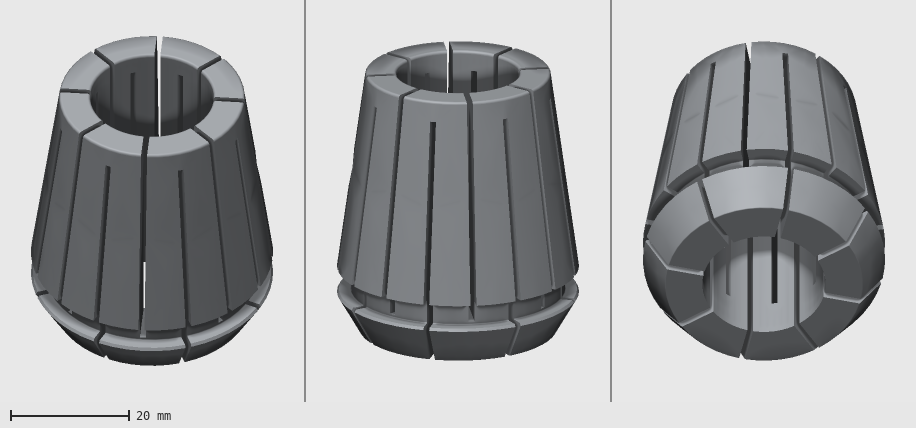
import cadquery as cq
import math

length = 46.0
outer_radius = 41.0 / 2

taper_angle = 7.9
taper_base_z = 11.15
top_radius = outer_radius - (length - taper_base_z) * math.tan(math.radians(taper_angle))
top_rounding = 0.5

groove_radius = 18.12
groove_base_z = 7.0
groove_fillet = 0.2
groove_reach = groove_radius + groove_fillet
flange_angle = 30.0
flange_rim_z = 6.55
flange_rim_inset = 0.3
base_fillet = 0.2
base_radius = outer_radius - flange_rim_z * math.tan(math.radians(flange_angle))

bore_radius = 10.45

slot_count = 8
slot_width = 1.0
lower_slot_end_z = 42.5
upper_slot_end_z = 7.5
slot_step = 360.0 / slot_count


def make_body():
    """Revolve the outer profile and bore it through."""
    body = (
        cq.Workplane("XZ")
        .polyline([
            (bore_radius, 0),
            (base_radius, 0),
            (outer_radius, flange_rim_z),
            (outer_radius - flange_rim_inset, groove_base_z),
            (groove_radius, groove_base_z),
            (groove_radius, taper_base_z),
            (outer_radius, taper_base_z),
            (top_radius, length),
            (bore_radius, length),
        ])
        .close()
        .revolve(360, (0, 0, 0), (0, 1, 0))
    )
    groove_roots = cq.selectors.BoxSelector(
        (-groove_reach, -groove_reach, groove_base_z - groove_fillet),
        (groove_reach, groove_reach, taper_base_z + groove_fillet),
        boundingbox=True,
    )
    body = body.faces(">Z").edges().fillet(top_rounding)
    body = body.edges(groove_roots).fillet(groove_fillet)
    body = body.faces("<Z").edges(cq.selectors.RadiusNthSelector(-1)).fillet(base_fillet)
    return body


def radial_slot(angle, bottom_z, top_z):
    """A slot blade reaching outward from the axis at the given angle."""
    return (
        cq.Workplane("XY", origin=(0, 0, bottom_z))
        .rect(outer_radius + slot_width, slot_width, centered=(False, True))
        .extrude(top_z - bottom_z)
        .rotate((0, 0, 0), (0, 0, 1), angle)
    )


result = make_body()
for index in range(slot_count):
    lower_angle = index * slot_step
    upper_angle = lower_angle + slot_step / 2
    result = result.cut(radial_slot(lower_angle, 0, lower_slot_end_z))
    result = result.cut(radial_slot(upper_angle, upper_slot_end_z, length))